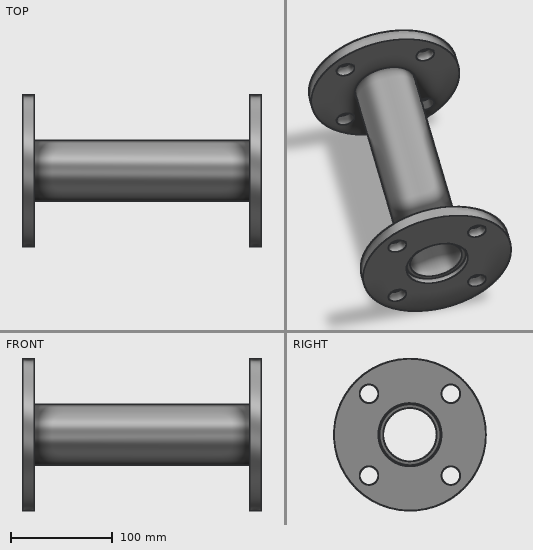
import cadquery as cq

overall_length = 235.0
flange_diameter = 150.0
flange_thickness = 11.5
flange_bore_diameter = 62.0
bolt_hole_diameter = 18.0
bolt_hole_spacing = 80.5
pipe_outer_diameter = 60.5
pipe_inner_diameter = 52.5
pipe_setback = 5.0

pipe_length = overall_length - 2 * pipe_setback
flange_start_positions = (
    -overall_length / 2,
    overall_length / 2 - flange_thickness,
)


def make_flange(start_x):
    """Flat ring with four bolt holes, extending in +X from start_x."""
    ring = (
        cq.Workplane("YZ", origin=(start_x, 0, 0))
        .circle(flange_diameter / 2)
        .circle(flange_bore_diameter / 2)
        .extrude(flange_thickness)
    )
    bolt_holes = (
        cq.Workplane("YZ", origin=(start_x, 0, 0))
        .rect(bolt_hole_spacing, bolt_hole_spacing, forConstruction=True)
        .vertices()
        .circle(bolt_hole_diameter / 2)
        .extrude(flange_thickness)
    )
    return ring.cut(bolt_holes)


def make_pipe():
    """Straight tube that enters both flange bores with a small clearance."""
    return (
        cq.Workplane("YZ", origin=(-pipe_length / 2, 0, 0))
        .circle(pipe_outer_diameter / 2)
        .circle(pipe_inner_diameter / 2)
        .extrude(pipe_length)
    )


flanges = [make_flange(start_x) for start_x in flange_start_positions]
pipe = make_pipe()

result = cq.Compound.makeCompound([pipe.val(), *[flange.val() for flange in flanges]])